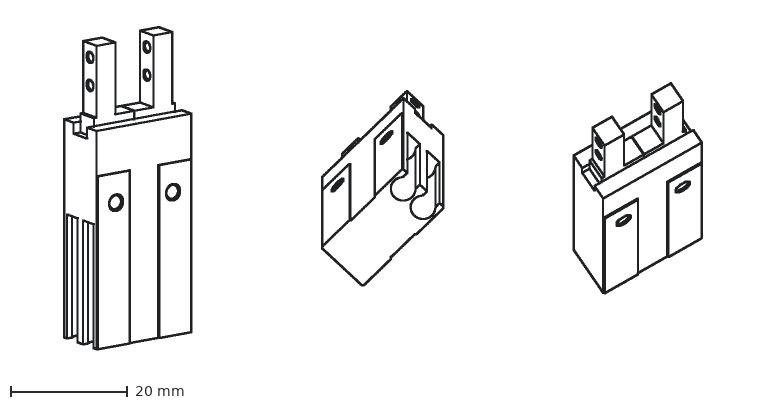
import cadquery as cq
import math

HOUSING_WIDTH = 9.6
HOUSING_LENGTH = 20.0
HOUSING_HEIGHT = 38.8

WIDTH_OVER_PADS = 10.0
PAD_HEIGHT = 30.75
PAD_INNER_Y = 2.95
PAD_OUTER_Y = HOUSING_LENGTH / 2
PAD_INNER_SLOPE = 0.13
PAD_OUTER_SLOPE = 0.2

MOUNT_HOLE_DIAMETER = 2.45
MOUNT_HOLE_CHAMFER = 0.25
MOUNT_HOLE_Y = 6.0
MOUNT_HOLE_Z = 25.5

GROOVE_WIDTH = 3.0
GROOVE_X = 2.4
GROOVE_HEIGHT = 22.05
GROOVE_NECK_DEPTH = 1.05
GROOVE_BORE_RADIUS = 4.25 / 2

CHANNEL_WIDTH = 4.0
CHANNEL_FLOOR_Z = 36.85

FINGER_TOP_Z = 53.0
FINGER_BASE_TOP_Z = 40.25
FINGER_BASE_INNER_Y = 0.05
FINGER_BASE_OUTER_Y = 8.55
FINGER_INNER_Y = 4.0
FINGER_OUTER_Y = 7.95
FINGER_HOLE_DIAMETER = 1.6
FINGER_HOLE_CHAMFER = 0.2
FINGER_HOLE_TOP_OFFSET = 2.5
FINGER_HOLE_PITCH = 5.0


def chamfered_bore(start, direction, length, diameter, chamfer):
    """Cutter for a through hole with a 45-degree chamfer at both ends."""
    radius = diameter / 2
    rim_radius = radius + chamfer
    bore = cq.Solid.makeCylinder(radius, length, start, direction)
    entry = cq.Solid.makeCone(rim_radius, radius, chamfer, start, direction)
    end = start + direction * length
    exit_cone = cq.Solid.makeCone(rim_radius, radius, chamfer, end, direction * -1)
    return cq.Workplane(bore).union(cq.Workplane(entry)).union(cq.Workplane(exit_cone))


def make_groove(center_x):
    """Cutter for one sensor groove, open at the bottom and at the -Y face."""
    half_width = GROOVE_WIDTH / 2
    face_y = -HOUSING_LENGTH / 2
    neck_end_y = face_y + GROOVE_NECK_DEPTH
    bore_center_y = neck_end_y + math.sqrt(GROOVE_BORE_RADIUS**2 - half_width**2)
    bore_far_y = bore_center_y + GROOVE_BORE_RADIUS
    return (
        cq.Workplane("XY")
        .moveTo(center_x - half_width, face_y)
        .lineTo(center_x - half_width, neck_end_y)
        .threePointArc((center_x, bore_far_y), (center_x + half_width, neck_end_y))
        .lineTo(center_x + half_width, face_y)
        .close()
        .extrude(GROOVE_HEIGHT)
    )


def make_pad_bar(side):
    """Bar through the housing whose two ends, sloping at the edges, form a pad on each X side."""
    base_x = HOUSING_WIDTH / 2
    face_x = WIDTH_OVER_PADS / 2
    inner_base_y = side * PAD_INNER_Y
    outer_base_y = side * PAD_OUTER_Y
    inner_face_y = side * (PAD_INNER_Y + PAD_INNER_SLOPE)
    outer_face_y = side * (PAD_OUTER_Y - PAD_OUTER_SLOPE)
    outline = [
        (-base_x, inner_base_y),
        (-face_x, inner_face_y),
        (-face_x, outer_face_y),
        (-base_x, outer_base_y),
        (base_x, outer_base_y),
        (face_x, outer_face_y),
        (face_x, inner_face_y),
        (base_x, inner_base_y),
    ]
    return cq.Workplane("XY").polyline(outline).close().extrude(PAD_HEIGHT)


def make_housing():
    """Block with side pads, guide channel, cross holes and sensor grooves."""
    body = cq.Workplane("XY").box(
        HOUSING_WIDTH, HOUSING_LENGTH, HOUSING_HEIGHT, centered=(True, True, False)
    )

    for side in (-1, 1):
        body = body.union(make_pad_bar(side))

    channel = cq.Workplane("XY").box(
        CHANNEL_WIDTH, HOUSING_LENGTH, HOUSING_HEIGHT - CHANNEL_FLOOR_Z, centered=(True, True, False)
    )
    body = body.cut(channel.translate((0, 0, CHANNEL_FLOOR_Z)))

    for side in (-1, 1):
        hole_start = cq.Vector(-WIDTH_OVER_PADS / 2, side * MOUNT_HOLE_Y, MOUNT_HOLE_Z)
        hole = chamfered_bore(
            hole_start, cq.Vector(1, 0, 0), WIDTH_OVER_PADS, MOUNT_HOLE_DIAMETER, MOUNT_HOLE_CHAMFER
        )
        body = body.cut(hole)

    for side in (-1, 1):
        body = body.cut(make_groove(side * GROOVE_X))
    return body


def make_finger(side):
    """Finger on a sliding base; side is -1 or 1 for the -Y or +Y finger."""
    outline = [
        (side * FINGER_BASE_INNER_Y, CHANNEL_FLOOR_Z),
        (side * FINGER_BASE_OUTER_Y, CHANNEL_FLOOR_Z),
        (side * FINGER_BASE_OUTER_Y, FINGER_BASE_TOP_Z),
        (side * FINGER_OUTER_Y, FINGER_BASE_TOP_Z),
        (side * FINGER_OUTER_Y, FINGER_TOP_Z),
        (side * FINGER_INNER_Y, FINGER_TOP_Z),
        (side * FINGER_INNER_Y, FINGER_BASE_TOP_Z),
        (side * FINGER_BASE_INNER_Y, FINGER_BASE_TOP_Z),
    ]
    finger = cq.Workplane("YZ").polyline(outline).close().extrude(CHANNEL_WIDTH / 2, both=True)

    upper_hole_z = FINGER_TOP_Z - FINGER_HOLE_TOP_OFFSET
    for hole_z in (upper_hole_z, upper_hole_z - FINGER_HOLE_PITCH):
        hole = chamfered_bore(
            cq.Vector(0, side * FINGER_INNER_Y, hole_z),
            cq.Vector(0, side, 0),
            FINGER_OUTER_Y - FINGER_INNER_Y,
            FINGER_HOLE_DIAMETER,
            FINGER_HOLE_CHAMFER,
        )
        finger = finger.cut(hole)
    return finger


housing = make_housing()
fingers = [make_finger(side) for side in (-1, 1)]

result = cq.Compound.makeCompound([housing.val(), *[finger.val() for finger in fingers]])